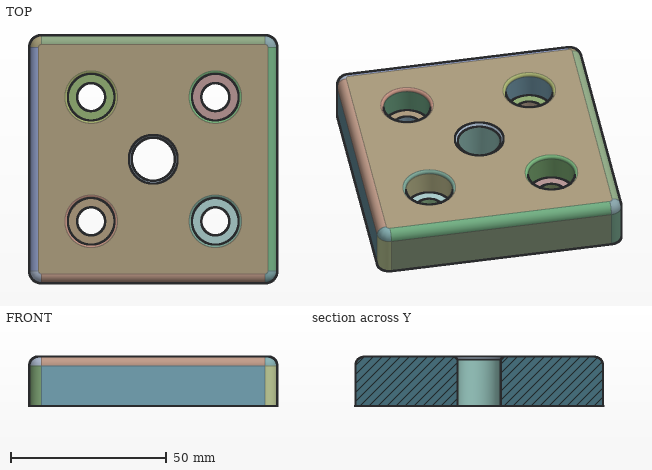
import cadquery as cq
import math

side = 80.0
thickness = 16.0
corner_radius = 4.0
top_edge_radius = 3.0

centre_hole_diameter = 13.8
centre_chamfer = 1.0
centre_chamfer_angle = 90

screw_spacing = side / 2
screw_hole_diameter = 9.0
counterbore_diameter = 15.0
counterbore_depth = 9.0
counterbore_mouth_radius = 1.0


def rounded_plate():
    """Square plate with its base on Z = 0, rounded corners and a rounded top rim."""
    plate = cq.Workplane("XY").rect(side, side).extrude(thickness)
    plate = plate.edges("|Z").fillet(corner_radius)
    return plate.faces(">Z").edges().fillet(top_edge_radius)


def add_centre_hole(plate):
    """Cut the chamfered through hole in the middle of the plate."""
    mouth_diameter = centre_hole_diameter + 2 * centre_chamfer
    top = plate.faces(">Z").workplane()
    return top.cskHole(centre_hole_diameter, mouth_diameter, centre_chamfer_angle)


def screw_hole():
    """Cutter for one through hole with a counterbore flaring into a rounded mouth."""
    bore_radius = screw_hole_diameter / 2
    counterbore_radius = counterbore_diameter / 2
    mouth_radius = counterbore_radius + counterbore_mouth_radius
    seat_height = thickness - counterbore_depth
    flare_height = thickness - counterbore_mouth_radius
    arc_offset = counterbore_mouth_radius * math.sqrt(0.5)
    arc_middle = (mouth_radius - arc_offset, flare_height + arc_offset)
    return (
        cq.Workplane("XZ")
        .lineTo(bore_radius, 0)
        .lineTo(bore_radius, seat_height)
        .lineTo(counterbore_radius, seat_height)
        .lineTo(counterbore_radius, flare_height)
        .threePointArc(arc_middle, (mouth_radius, thickness))
        .lineTo(0, thickness)
        .close()
        .revolve(360, (0, 0, 0), (0, 1, 0))
    )


result = add_centre_hole(rounded_plate())
for x_side in (-1, 1):
    for y_side in (-1, 1):
        position = (x_side * screw_spacing / 2, y_side * screw_spacing / 2, 0)
        result = result.cut(screw_hole().translate(position))